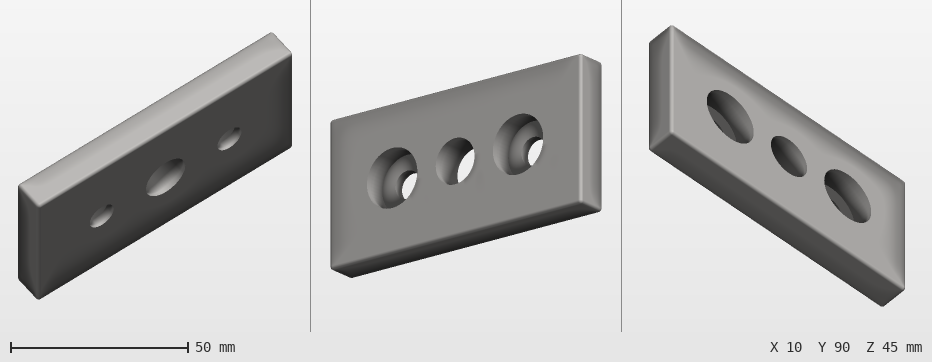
import cadquery as cq

thickness = 10.0
length = 90.0
height = 45.0
edge_radius = 1.0

center_hole_diameter = 13.9
screw_hole_diameter = 8.5
counterbore_diameter = 18.0
counterbore_depth = 7.0
screw_spacing = length / 2

plate = cq.Workplane("XY").box(thickness, length, height).edges().fillet(edge_radius)

front_face = cq.Workplane("YZ", origin=(-thickness / 2, 0, 0))
center_hole = front_face.circle(center_hole_diameter / 2).extrude(thickness)

screw_positions = [(-screw_spacing / 2, 0), (screw_spacing / 2, 0)]
screw_holes = front_face.pushPoints(screw_positions).circle(screw_hole_diameter / 2).extrude(thickness)
counterbores = (
    front_face.pushPoints(screw_positions)
    .circle(counterbore_diameter / 2)
    .extrude(counterbore_depth)
)

result = plate.cut(center_hole).cut(screw_holes).cut(counterbores)